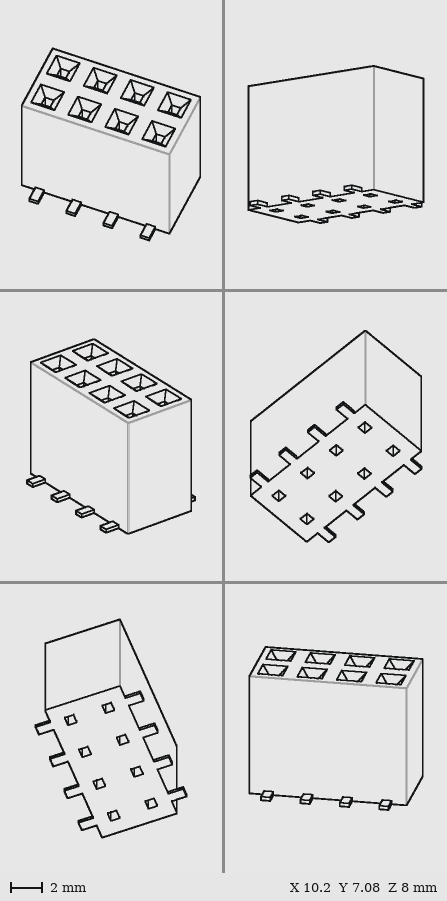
import cadquery as cq

pitch = 2.54
columns = 4
rows = 2

body_length = columns * pitch
body_width = rows * pitch
body_height = 8.0
edge_radius = 0.05

funnel_mouth = 1.6
hole_side = 0.6
funnel_depth = 0.5

tail_span = 7.08
tail_width = 0.6
tail_thickness = 0.25

column_centers = [(i - (columns - 1) / 2) * pitch for i in range(columns)]
row_centers = [(j - (rows - 1) / 2) * pitch for j in range(rows)]


def make_housing():
    """Rectangular block with its upright and top edges rounded."""
    block = cq.Workplane("XY").box(body_length, body_width, body_height, centered=(True, True, False))
    return block.edges("|Z or >Z").fillet(edge_radius)


def make_socket_cutter(x, y):
    """Square through hole with a pyramidal lead-in at the top."""
    hole = cq.Workplane("XY").center(x, y).rect(hole_side, hole_side).extrude(body_height)
    funnel = (
        cq.Workplane("XY", origin=(x, y, body_height - funnel_depth))
        .rect(hole_side, hole_side)
        .workplane(offset=funnel_depth)
        .rect(funnel_mouth, funnel_mouth)
        .loft(ruled=True)
    )
    return hole.union(funnel)


def make_tail(x, side):
    """Flat tail projecting from one long side; side is -1 or +1 along Y."""
    tail_length = (tail_span - body_width) / 2
    tail_center = side * (body_width + tail_length) / 2
    return cq.Workplane("XY", origin=(x, tail_center, 0)).box(
        tail_width, tail_length, tail_thickness, centered=(True, True, False)
    )


result = make_housing()
for column_x in column_centers:
    for row_y in row_centers:
        result = result.cut(make_socket_cutter(column_x, row_y))
    for tail_side in (-1, 1):
        result = result.union(make_tail(column_x, tail_side))